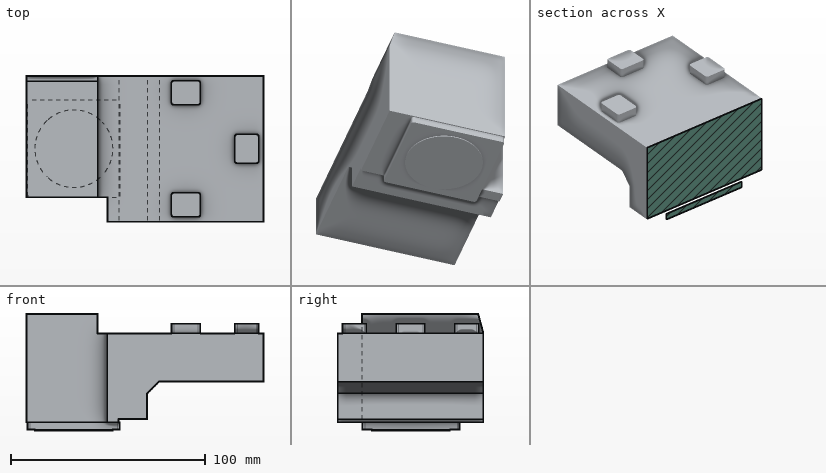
import cadquery as cq

length = 122.0
width = 75.0
height = 60.0

disc_thickness = 0.5
plate_thickness = 3.8
body_bottom = disc_thickness + plate_thickness
step_height = 1.7
deck_level = 50.0
arm_thickness = 24.8
arm_bottom = deck_level - arm_thickness

step_x = 47.5
leg_x = 62.1
haunch = 6.1

tower_length = 36.6
notch_length = 41.6
notch_width = 12.6
bevel_width = 2.7

plate_length = 47.5
plate_width = 50.0
plate_inset_x = 0.6
plate_inset_y = 0.1
disc_diameter = 40.0

pad_long = 14.9
pad_short = 12.3
pad_height = 5.0
pad_edge_gap = 2.6
side_pad_x = 82.0
corner_radius = 1.2


def box(x, y, z, size_x, size_y, size_z):
    """Box placed by its minimum corner."""
    return cq.Workplane("XY").box(size_x, size_y, size_z, centered=False).translate((x, y, z))


def rounded_block(center_x, center_y, z, size_x, size_y, size_z):
    """Block centred in plan, with rounded vertical edges."""
    block = cq.Workplane("XY").box(size_x, size_y, size_z, centered=(True, True, False))
    return block.edges("|Z").fillet(corner_radius).translate((center_x, center_y, z))


def make_body():
    """Stepped side profile extruded across the full width."""
    profile = [
        (0, body_bottom),
        (step_x, body_bottom),
        (step_x, body_bottom + step_height),
        (leg_x, body_bottom + step_height),
        (leg_x, arm_bottom - haunch),
        (leg_x + haunch, arm_bottom),
        (length, arm_bottom),
        (length, deck_level),
        (tower_length, deck_level),
        (tower_length, height),
        (0, height),
    ]
    return cq.Workplane("XZ").polyline(profile).close().extrude(-width)


def make_bevel():
    """Wedge that slopes the +Y face of the tower above the deck."""
    return (
        cq.Workplane("YZ")
        .polyline([(width, deck_level), (width, height), (width - bevel_width, height)])
        .close()
        .extrude(tower_length)
    )


def make_base():
    """Rounded plate and the disc centred beneath it."""
    center_x = plate_inset_x + plate_length / 2
    center_y = notch_width + plate_inset_y + plate_width / 2
    plate = rounded_block(center_x, center_y, disc_thickness, plate_length, plate_width, plate_thickness)
    disc = cq.Workplane("XY").center(center_x, center_y).circle(disc_diameter / 2).extrude(disc_thickness)
    return plate.union(disc)


result = make_body()
result = result.cut(box(0, 0, 0, notch_length, notch_width, height))
result = result.cut(make_bevel())
result = result.union(make_base())

side_pad_inset = pad_edge_gap + pad_short / 2
for pad_y in (side_pad_inset, width - side_pad_inset):
    result = result.union(rounded_block(side_pad_x, pad_y, deck_level, pad_long, pad_short, pad_height))
end_pad_x = length - pad_edge_gap - pad_short / 2
result = result.union(rounded_block(end_pad_x, width / 2, deck_level, pad_short, pad_long, pad_height))